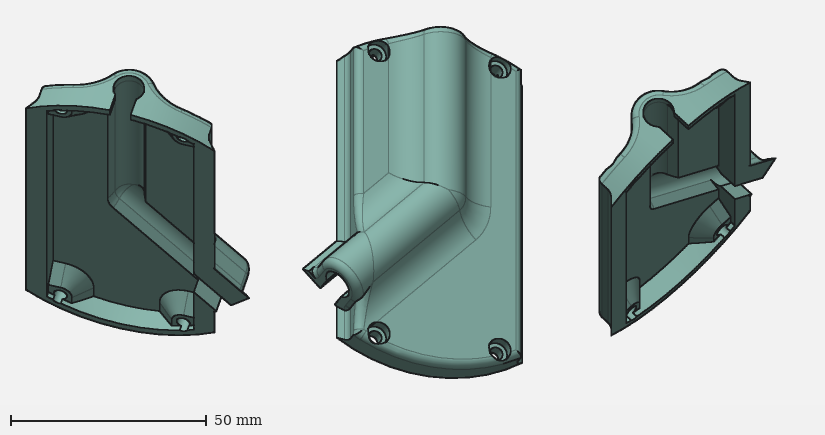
import cadquery as cq
import math

end_radius = 46.0
half_width = 25.0
flare = 2.5
flare_blend = 3.0
back_height = 8.0
rim_round = 2.0
wall_x = half_width - flare
half_flare_angle = math.radians(45 / 2)
flare_blend_tangent = flare_blend * math.tan(half_flare_angle)
flare_blend_start = flare - flare_blend_tangent * math.sqrt(0.5)
flare_blend_end = flare + flare_blend_tangent

cavity_half_width = 19.5
cavity_end_radius = 44.0
cavity_depth = 6.0

bore_radius = 4.0
ridge_radius = 7.0
ridge_blend = 10.0
slot_width = 5.5
channel_half_width = 5.1
channel_edge_height = 8.7
branch_angle = 135
spout_length = 38.8

screw_x = 16.3
screw_z = 39.4
screw_diameter = 3.5
head_diameter = 5.9
head_depth = 3.0
boss_radius = 3.0
boss_top = 1.5

tolerance = 0.01
margin = 9.2


def along_branch(body):
    """Turn a body built along +Z onto the branch."""
    return body.rotate((0, 0, 0), (0, 1, 0), branch_angle)


def passage(half_profile, length):
    """Sweep a half profile along both legs of the passage, rounding the outside of the bend."""
    outline = half_profile.val()
    half_leg = cq.Workplane("XY").add(outline).toPending().extrude(length)
    leg = half_leg.union(half_leg.mirror("YZ"))
    turn = 180 - branch_angle
    bend = cq.Workplane("XY").add(outline).toPending().revolve(turn, (0, 0, 0), (0, 1, 0))
    return leg.union(along_branch(leg)).union(along_branch(bend))


def footprint(half_x, radius, height):
    """Straight-sided plate with round ends, rising from the open face."""
    disc = cq.Workplane("XZ").circle(radius).extrude(-height)
    strip = cq.Workplane("XY").box(2 * half_x, height, 2 * radius, centered=(True, False, True))
    return disc.intersect(strip)


def flared_foot(wall, length):
    """Bar along Z whose two side walls at x = +-wall flare out at 45 degrees towards the open face."""
    half_foot = (
        cq.Workplane("XY")
        .lineTo(wall + flare, 0)
        .lineTo(wall + flare - flare_blend_start, flare_blend_start)
        .threePointArc(
            (
                wall + flare_blend * (1 - math.cos(half_flare_angle)),
                flare_blend_end - flare_blend * math.sin(half_flare_angle),
            ),
            (wall, flare_blend_end),
        )
        .lineTo(0, flare_blend_end)
        .close()
        .extrude(length)
    )
    return half_foot.union(half_foot.mirror("YZ"))


def outer_ridge():
    """Raised back over the passage, blended into the flat back."""
    reach = math.sqrt((ridge_radius + ridge_blend) ** 2 - ridge_blend ** 2)
    lean = math.atan2(reach, ridge_blend)
    half_lean = lean / 2
    blend_middle = (
        reach - ridge_blend * math.sin(half_lean),
        back_height + ridge_blend * (1 - math.cos(half_lean)),
    )
    profile = (
        cq.Workplane("XY")
        .lineTo(reach, 0)
        .lineTo(reach, back_height)
        .threePointArc(
            blend_middle,
            (ridge_radius * math.sin(lean), back_height + ridge_radius * math.cos(lean)),
        )
        .threePointArc(
            (ridge_radius * math.sin(half_lean), back_height + ridge_radius * math.cos(half_lean)),
            (0, back_height + ridge_radius),
        )
        .close()
    )
    return passage(profile, end_radius + margin)


def on_rim(edge):
    """True for the edges around the back, where it meets the outer walls."""
    middle = edge.positionAt(0.5)
    on_side = abs(abs(middle.x) - wall_x) < tolerance
    on_end = abs(math.hypot(middle.x, middle.z) - end_radius) < tolerance
    return middle.y > back_height - tolerance and (on_side or on_end)


def shell():
    """Solid body with ridge, rounded rim and flared long sides."""
    plate = footprint(wall_x, end_radius, back_height)
    ridge = outer_ridge().intersect(footprint(wall_x, end_radius, back_height + 2 * ridge_radius))
    body = plate.union(ridge).clean()
    body = body.edges().filter(on_rim).fillet(rim_round)
    foot = flared_foot(wall_x, 2 * end_radius).translate((0, 0, -end_radius))
    return body.union(foot.intersect(footprint(half_width, end_radius, back_height)))


def spout():
    """Round-backed outlet of the branch, its end edge rounded down to the flare."""
    tube = (
        cq.Workplane("XY")
        .moveTo(-ridge_radius, 0)
        .lineTo(ridge_radius, 0)
        .lineTo(ridge_radius, back_height)
        .threePointArc((0, back_height + ridge_radius), (-ridge_radius, back_height))
        .close()
        .extrude(spout_length)
    )
    foot = flared_foot(ridge_radius, spout_length)
    sharp_toe = foot.intersect(
        cq.Workplane("XY").box(4 * half_width, 2 * flare_blend_start, 2 * spout_length)
    )
    rounded = tube.union(foot).clean().faces(">Z").edges("not <Y").fillet(rim_round)
    return along_branch(rounded.union(sharp_toe))


def boss(x_side, z_side):
    """Corner boss with 45 degree sides, widening from its face to the cavity floor."""
    size = 2 * screw_x
    face = cq.Sketch().rect(size, size).vertices().fillet(boss_radius)
    block = (
        cq.Workplane("XZ", origin=(0, boss_top, 0))
        .placeSketch(face)
        .extrude(boss_top - cavity_depth, taper=-45)
    )
    shift = size / 2 - boss_radius
    return block.translate((x_side * (screw_x + shift), 0, z_side * (screw_z + shift)))


def channel():
    """Bore with straight sides opening into the cavity floor."""
    edge_x = math.sqrt(bore_radius ** 2 - (channel_edge_height - back_height) ** 2)
    half_lean = math.atan2(edge_x, channel_edge_height - back_height) / 2
    profile = (
        cq.Workplane("XY")
        .lineTo(channel_half_width, 0)
        .lineTo(channel_half_width, cavity_depth)
        .lineTo(edge_x, channel_edge_height)
        .threePointArc(
            (bore_radius * math.sin(half_lean), back_height + bore_radius * math.cos(half_lean)),
            (0, back_height + bore_radius),
        )
        .close()
    )
    return passage(profile, end_radius + margin)


def cavity():
    """Inside of the shell, left solid at the four bosses."""
    floor = footprint(cavity_half_width, cavity_end_radius, cavity_depth)
    for x_side in (-1, 1):
        for z_side in (-1, 1):
            floor = floor.cut(boss(x_side, z_side))
    deep = footprint(cavity_half_width, cavity_end_radius, back_height + ridge_radius)
    return floor.union(channel().intersect(deep))


def outlet():
    """Bore with an open slot, cutting through the outer wall along +Z."""
    length = end_radius + margin
    bore = cq.Workplane("XY").center(0, back_height).circle(bore_radius).extrude(length)
    slot = cq.Workplane("XY").box(slot_width, back_height, length, centered=(True, False, False))
    return bore.union(slot)


def screw_hole(x, z):
    """Through hole with a round recess for the screw head, sunk into the back."""
    hole = cq.Workplane("XZ").circle(screw_diameter / 2).extrude(-back_height)
    recess = cq.Workplane("XZ", origin=(0, back_height, 0)).circle(head_diameter / 2).extrude(head_depth)
    return hole.union(recess).translate((x, 0, z))


result = shell().union(spout())

passages = cavity().union(outlet()).union(along_branch(outlet()))
result = result.cut(passages)

for x in (-screw_x, screw_x):
    for z in (-screw_z, screw_z):
        result = result.cut(screw_hole(x, z))

result = result.clean()